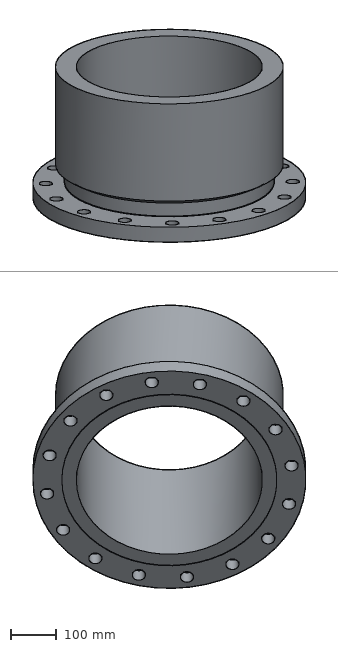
import cadquery as cq

total_height = 304.8
flange_diameter = 596.9

raised_face_diameter = 469.9
raised_face_height = 1.6
flange_thickness = 34.925
flange_top = raised_face_height + flange_thickness

bolt_count = 16
bolt_circle_diameter = 539.75
bolt_hole_diameter = 28.575

neck_diameter = 459.6
relief_diameter = 457.2
relief_height = 1.6
relief_top = flange_top + relief_height
cone_bottom = 68.6
barrel_diameter = 498.3
barrel_bottom = 79.8
bore_diameter = 406.4


def make_body():
    """Revolve the half section of the flange, relief, neck, cone and barrel about Z."""
    bore_radius = bore_diameter / 2
    raised_face_radius = raised_face_diameter / 2
    flange_radius = flange_diameter / 2
    relief_radius = relief_diameter / 2
    neck_radius = neck_diameter / 2
    barrel_radius = barrel_diameter / 2
    section = (
        cq.Workplane("XZ")
        .moveTo(bore_radius, 0)
        .lineTo(raised_face_radius, 0)
        .lineTo(raised_face_radius, raised_face_height)
        .lineTo(flange_radius, raised_face_height)
        .lineTo(flange_radius, flange_top)
        .lineTo(relief_radius, flange_top)
        .lineTo(relief_radius, relief_top)
        .lineTo(neck_radius, relief_top)
        .lineTo(neck_radius, cone_bottom)
        .lineTo(barrel_radius, barrel_bottom)
        .lineTo(barrel_radius, total_height)
        .lineTo(bore_radius, total_height)
        .close()
    )
    return section.revolve(360, (0, 0, 0), (0, 1, 0))


def make_bolt_holes():
    """Cylinders through the flange plate, evenly spaced with one on +X."""
    return (
        cq.Workplane("XY")
        .polarArray(bolt_circle_diameter / 2, 0, 360, bolt_count)
        .circle(bolt_hole_diameter / 2)
        .extrude(flange_top)
    )


result = make_body().cut(make_bolt_holes())